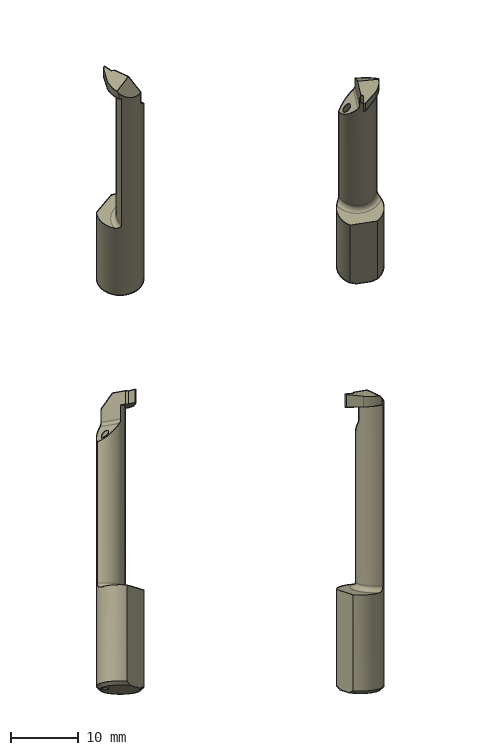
import cadquery as cq
import math

TOTAL_HEIGHT = 45.0
SHANK_RADIUS = 3.5
SHANK_HEIGHT = 15.05
FLAT_X = -2.85
BASE_CHAMFER = 0.5

NECK_LEFT_X = -0.2
NECK_RADIUS = 2.95
NECK_CENTER_X = NECK_LEFT_X + NECK_RADIUS
ROOT_FILLET = 0.8

HEAD_HEIGHT = 2.02
HEAD_BOTTOM = TOTAL_HEIGHT - HEAD_HEIGHT
RAKE_Y = 0.15
TIP_X = -2.75
TIP_BACK_Y = 0.05
TIP_FRONT_Y = -0.25
GROOVE_BOTTOM = (-1.45, -0.2)
GROOVE_END = (-1.05, RAKE_Y)
FLANK_END = (-0.95, -2.1)
FLANK_ARC_MIDDLE = (0.35, -2.85)
FLANK_ARC_END = (1.7, -3.05)
RELIEF_ANGLE = 5.0
TOP_CHAMFER = 2.15

RAMP_TOP = 40.45
RAMP_ANGLE = 50.0
RAMP_FILLET = 1.1
HOLE_CENTER = (1.5, 1.75)
HOLE_RADIUS = 0.55

SPAN = 2 * SHANK_RADIUS


def bar(height):
    """Round bar of the shank radius standing on the XY plane."""
    return cq.Workplane("XY").circle(SHANK_RADIUS).extrude(height)


def make_shank():
    flat_cutter = cq.Workplane("XY").box(SPAN, 2 * SPAN, SHANK_HEIGHT, centered=(True, True, False))
    flat_cutter = flat_cutter.translate((FLAT_X - SPAN / 2, 0, 0))
    return bar(SHANK_HEIGHT).faces("<Z").chamfer(BASE_CHAMFER).cut(flat_cutter)


def make_neck():
    """Offset cylinder with a flared root, trimmed by the bar and by the ramp."""
    flare_radius = NECK_RADIUS + ROOT_FILLET
    arc_offset = ROOT_FILLET * (1 - math.sqrt(0.5))
    column = (
        cq.Workplane("XZ")
        .moveTo(0, SHANK_HEIGHT)
        .lineTo(flare_radius, SHANK_HEIGHT)
        .threePointArc(
            (NECK_RADIUS + arc_offset, SHANK_HEIGHT + arc_offset),
            (NECK_RADIUS, SHANK_HEIGHT + ROOT_FILLET),
        )
        .lineTo(NECK_RADIUS, TOTAL_HEIGHT)
        .lineTo(0, TOTAL_HEIGHT)
        .close()
        .revolve(360, (0, 0, 0), (0, 1, 0))
        .translate((NECK_CENTER_X, 0, 0))
    )
    return column.intersect(bar(TOTAL_HEIGHT)).cut(ramp_cutter())


def ramp_cutter():
    """Space above the ramp, behind the rake plane."""
    ramp_bottom = RAMP_TOP - SPAN * math.tan(math.radians(RAMP_ANGLE))
    cutter = (
        cq.Workplane("YZ")
        .moveTo(RAKE_Y, RAMP_TOP)
        .lineTo(RAKE_Y + SPAN, ramp_bottom)
        .lineTo(RAKE_Y + SPAN, TOTAL_HEIGHT)
        .lineTo(RAKE_Y, TOTAL_HEIGHT)
        .close()
        .extrude(SPAN, both=True)
    )
    corner = cq.NearestToPointSelector((0, RAKE_Y, RAMP_TOP))
    return cutter.edges(corner).fillet(RAMP_FILLET)


def relief_tilt(cutter, pivot_z, angle):
    """Tilt a cutter about the X line in the rake plane; positive lowers its -Y end."""
    return cutter.rotate((0, RAKE_Y, pivot_z), (1, RAKE_Y, pivot_z), angle)


def make_head():
    """Hooked tip with a chip groove; its underside rises away from the cutting edge."""
    blank = (
        cq.Workplane("XY", origin=(0, 0, HEAD_BOTTOM))
        .moveTo(*GROOVE_END)
        .lineTo(*GROOVE_BOTTOM)
        .lineTo(TIP_X, TIP_BACK_Y)
        .lineTo(TIP_X, TIP_FRONT_Y)
        .lineTo(*FLANK_END)
        .threePointArc(FLANK_ARC_MIDDLE, FLANK_ARC_END)
        .lineTo(SHANK_RADIUS, FLANK_ARC_END[1])
        .lineTo(SHANK_RADIUS, RAKE_Y)
        .close()
        .extrude(HEAD_HEIGHT)
        .intersect(bar(TOTAL_HEIGHT))
    )
    below = cq.Workplane("XY").box(2 * SPAN, 2 * SPAN, SPAN)
    below = below.translate((0, 0, HEAD_BOTTOM - SPAN / 2))
    return blank.cut(relief_tilt(below, HEAD_BOTTOM, -RELIEF_ANGLE))


def top_cutter():
    """Space above the chamfered top, sloping down from the cutting edge."""
    cutter = (
        cq.Workplane("XZ", origin=(0, SPAN, 0))
        .moveTo(-SPAN, TOTAL_HEIGHT)
        .lineTo(SHANK_RADIUS - TOP_CHAMFER, TOTAL_HEIGHT)
        .lineTo(SHANK_RADIUS - TOP_CHAMFER + SPAN, TOTAL_HEIGHT - SPAN)
        .lineTo(SHANK_RADIUS - TOP_CHAMFER + SPAN, TOTAL_HEIGHT + SPAN)
        .lineTo(-SPAN, TOTAL_HEIGHT + SPAN)
        .close()
        .extrude(2 * SPAN)
    )
    return relief_tilt(cutter, TOTAL_HEIGHT, RELIEF_ANGLE)


coolant_hole = cq.Workplane("XY").center(*HOLE_CENTER).circle(HOLE_RADIUS).extrude(TOTAL_HEIGHT)

result = make_shank().union(make_neck()).union(make_head()).cut(top_cutter()).cut(coolant_hole)